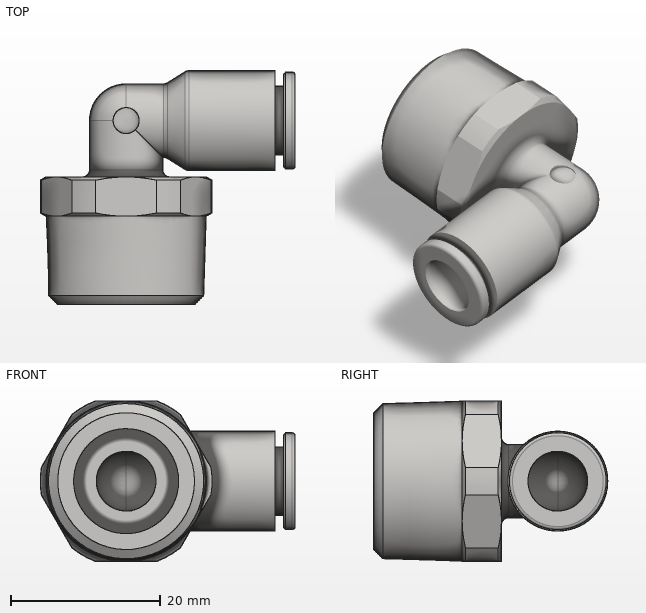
import cadquery as cq
import math


pipe_radius = 4.9
passage_radius = 4.0

cone_start = 5.3
cone_end = 8.1
cone_fillet = 1.0
socket_radius = 6.7
socket_end = 19.9
collar_neck_radius = 4.6
collar_start = 21.05
collar_radius = 6.48
collar_chamfer = 0.3
collar_fillet = 0.4

hex_sides = 6
hex_start = 7.55
hex_width = 5.25
hex_across_flats = 21.5
hex_corner_radius = 11.5
hex_chamfer_angle = 30
flare_radius = 0.95

overall_length = 34.1
arm_end = overall_length - hex_corner_radius

hex_end = hex_start + hex_width
thread_end = 24.62
thread_root_radius = 10.7
thread_taper = 1 / 16
thread_chamfer = 1.23
thread_bore_radius = 7.02
thread_bore_floor = hex_start + hex_width / 2

recess_radius = 1.75
recess_floor = 4.35


def cylinder_x(radius, start, end):
    """Solid cylinder on the arm axis."""
    return cq.Workplane("YZ", origin=(start, 0, 0)).circle(radius).extrude(end - start)


def cylinder_y(radius, start, end):
    """Solid cylinder on the stem axis, with distances measured towards -Y."""
    return cq.Workplane("XZ", origin=(0, -start, 0)).circle(radius).extrude(end - start)


def elbow(radius, arm_length, stem_length):
    """Mitred round bend with a ball-shaped outer corner."""
    return (
        cq.Workplane("XY")
        .sphere(radius)
        .union(cylinder_x(radius, 0, arm_length))
        .union(cylinder_y(radius, 0, stem_length))
    )


def revolve_about_stem(profile):
    """Turn a closed profile drawn in the XY plane about the Y axis."""
    return profile.close().revolve(360, (0, 0, 0), (0, 1, 0))


def tube_socket():
    """Flared socket that holds the tube, with rounded ends of its cone."""
    socket = (
        cq.Workplane("XY")
        .polyline([
            (0, 0),
            (0, pipe_radius),
            (cone_start, pipe_radius),
            (cone_end, socket_radius),
            (socket_end, socket_radius),
            (socket_end, 0),
        ])
        .close()
        .revolve(360, (0, 0, 0), (1, 0, 0))
    )
    for cone_edge in (cone_start, cone_end):
        socket = socket.edges(cq.NearestToPointSelector((cone_edge, 0, 0))).fillet(cone_fillet)
    return socket.intersect(cylinder_x(socket_radius, pipe_radius, socket_end))


def release_collar():
    """Release ring on a narrower neck."""
    ring = cylinder_x(collar_radius, collar_start, arm_end)
    ring = ring.faces("<X").edges().chamfer(collar_chamfer)
    ring = ring.faces(">X").edges().fillet(collar_fillet)
    return ring.union(cylinder_x(collar_neck_radius, socket_end, collar_start))


def hexagon():
    """Hexagon with rounded corners, both ends chamfered to the across-flats circle."""
    corner_diameter = hex_across_flats / math.cos(math.pi / hex_sides)
    prism = (
        cq.Workplane("XZ", origin=(0, -hex_start, 0))
        .polygon(hex_sides, corner_diameter)
        .extrude(hex_width)
    )
    flat_radius = hex_across_flats / 2
    chamfer_length = (hex_corner_radius - flat_radius) * math.tan(math.radians(hex_chamfer_angle))
    envelope = revolve_about_stem(
        cq.Workplane("XY").polyline([
            (0, -hex_start),
            (flat_radius, -hex_start),
            (hex_corner_radius, -hex_start - chamfer_length),
            (hex_corner_radius, -hex_end + chamfer_length),
            (flat_radius, -hex_end),
            (0, -hex_end),
        ])
    )
    return prism.intersect(envelope)


def neck_flare():
    """Concave flare where the stem meets the hexagon."""
    flare_top = (pipe_radius, -hex_start + flare_radius)
    flare_foot = (pipe_radius + flare_radius, -hex_start)
    return revolve_about_stem(
        cq.Workplane("XY")
        .moveTo(0, flare_top[1])
        .lineTo(*flare_top)
        .radiusArc(flare_foot, -flare_radius)
        .lineTo(0, -hex_start)
    )


def taper_thread():
    """Tapered thread envelope with a 45 degree chamfered end."""
    taper_end = thread_end - thread_chamfer
    taper_end_radius = thread_root_radius - (taper_end - hex_end) * thread_taper / 2
    return revolve_about_stem(
        cq.Workplane("XY").polyline([
            (0, -hex_end),
            (thread_root_radius, -hex_end),
            (taper_end_radius, -taper_end),
            (taper_end_radius - thread_chamfer, -thread_end),
            (0, -thread_end),
        ])
    )


def top_recess():
    """Cutter for the flat-bottomed round recess on the elbow."""
    return cq.Workplane("XY", origin=(0, 0, recess_floor)).circle(recess_radius).extrude(pipe_radius)


body = elbow(pipe_radius, pipe_radius, hex_start)
for section in (tube_socket(), release_collar(), neck_flare(), hexagon(), taper_thread()):
    body = body.union(section)

result = (
    body
    .cut(elbow(passage_radius, arm_end, thread_bore_floor))
    .cut(cylinder_y(thread_bore_radius, thread_bore_floor, thread_end))
    .cut(top_recess())
)